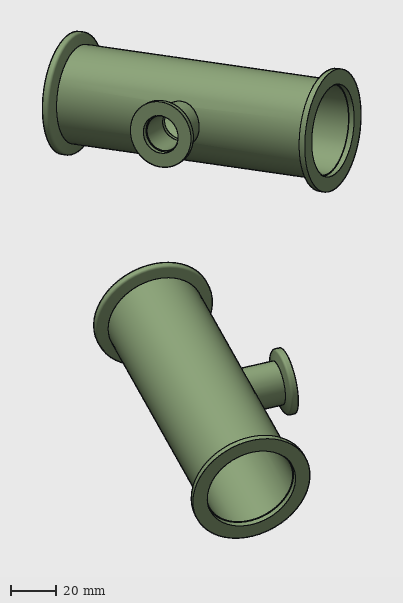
import cadquery as cq
import math

PIPE_LENGTH = 130.0
PIPE_RADIUS = 22.2
PIPE_BORE_RADIUS = 20.3
PIPE_FLANGE_RADIUS = 55.0 / 2
PIPE_RECESS_RADIUS = 20.7

OVERALL_DEPTH = 67.5
BRANCH_REACH = OVERALL_DEPTH - PIPE_FLANGE_RADIUS
BRANCH_RADIUS = 10.0
BRANCH_BORE_RADIUS = 8.0
BRANCH_FLANGE_RADIUS = 30.0 / 2
BRANCH_RECESS_RADIUS = 8.6

RIM_WIDTH = 2.1
RIM_ROUND = 1.2
BACK_ANGLE = math.radians(15)
RECESS_DEPTH = 2.6


def flange(plane, rim_radius, tube_radius):
    """Solid disc with its face on the plane, a rounded rim and a conical back along the normal."""
    def rim_arc_point(angle):
        return (
            rim_radius - RIM_ROUND + RIM_ROUND * math.cos(angle),
            RIM_WIDTH + RIM_ROUND * math.sin(angle),
        )

    arc_sweep = math.pi / 2 - BACK_ANGLE
    cone_start = rim_arc_point(arc_sweep)
    back_height = cone_start[1] + (cone_start[0] - tube_radius) * math.tan(BACK_ANGLE)
    profile = (
        cq.Workplane("XZ")
        .lineTo(rim_radius, 0)
        .lineTo(rim_radius, RIM_WIDTH)
        .threePointArc(rim_arc_point(arc_sweep / 2), cone_start)
        .lineTo(tube_radius, back_height)
        .lineTo(0, back_height)
        .close()
    )
    disc = profile.revolve(360, (0, 0, 0), (0, 1, 0))
    return cq.Workplane(disc.val().moved(cq.Location(plane)))


def cylinder(plane, radius, length):
    return cq.Workplane(plane).circle(radius).extrude(length)


left_end = cq.Plane(origin=(-PIPE_LENGTH / 2, 0, 0), xDir=(0, 1, 0), normal=(1, 0, 0))
right_end = cq.Plane(origin=(PIPE_LENGTH / 2, 0, 0), xDir=(0, 1, 0), normal=(-1, 0, 0))
branch_end = cq.Plane(origin=(0, -BRANCH_REACH, 0), xDir=(1, 0, 0), normal=(0, 1, 0))

pipe_envelope = cylinder(left_end, PIPE_RADIUS, PIPE_LENGTH)
branch_bore = cylinder(branch_end, BRANCH_BORE_RADIUS, BRANCH_REACH)


def make_main_pipe():
    """Pipe with a flange and a shallow recess at each end, and a side hole for the branch."""
    pipe = pipe_envelope
    for end in (left_end, right_end):
        pipe = pipe.union(flange(end, PIPE_FLANGE_RADIUS, PIPE_RADIUS))
    pipe = pipe.cut(cylinder(left_end, PIPE_BORE_RADIUS, PIPE_LENGTH))
    for end in (left_end, right_end):
        pipe = pipe.cut(cylinder(end, PIPE_RECESS_RADIUS, RECESS_DEPTH))
    return pipe.cut(branch_bore)


def make_branch():
    """Flanged side tube whose inner end is shaped to sit on the outside of the main pipe."""
    branch = cylinder(branch_end, BRANCH_RADIUS, BRANCH_REACH)
    branch = branch.union(flange(branch_end, BRANCH_FLANGE_RADIUS, BRANCH_RADIUS))
    branch = branch.cut(pipe_envelope)
    branch = branch.cut(branch_bore)
    return branch.cut(cylinder(branch_end, BRANCH_RECESS_RADIUS, RECESS_DEPTH))


main_pipe = make_main_pipe()
branch = make_branch()

result = cq.Compound.makeCompound([main_pipe.val(), branch.val()])